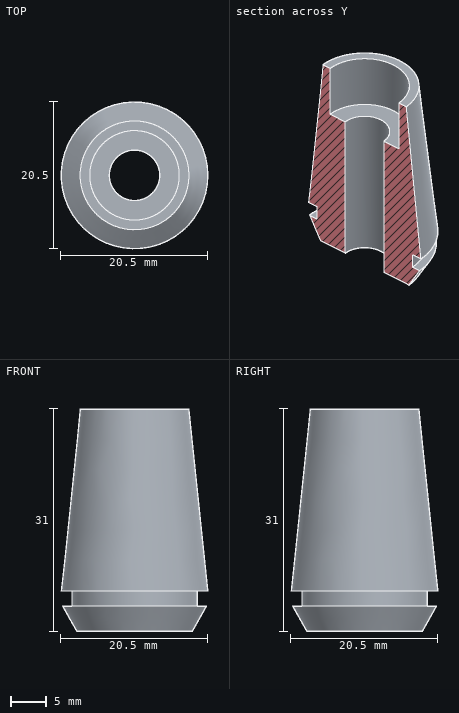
import cadquery as cq

total_height = 31.0
nose_top = 3.53
groove_top = 5.6

nose_bottom_diameter = 16.12
nose_top_diameter = 20.1
groove_diameter = 17.5
body_bottom_diameter = 20.5
body_top_diameter = 15.2

bore_diameter = 12.5
bore_depth = 8.0
through_hole_diameter = 7.0


def revolved_body():
    """Outer shape: flared nose, groove and long tapered body."""
    return (
        cq.Workplane("XZ")
        .lineTo(nose_bottom_diameter / 2, 0)
        .lineTo(nose_top_diameter / 2, nose_top)
        .lineTo(groove_diameter / 2, nose_top)
        .lineTo(groove_diameter / 2, groove_top)
        .lineTo(body_bottom_diameter / 2, groove_top)
        .lineTo(body_top_diameter / 2, total_height)
        .lineTo(0, total_height)
        .close()
        .revolve(360, (0, 0, 0), (0, 1, 0))
    )


result = (
    revolved_body()
    .faces(">Z")
    .workplane()
    .cboreHole(through_hole_diameter, bore_diameter, bore_depth)
)